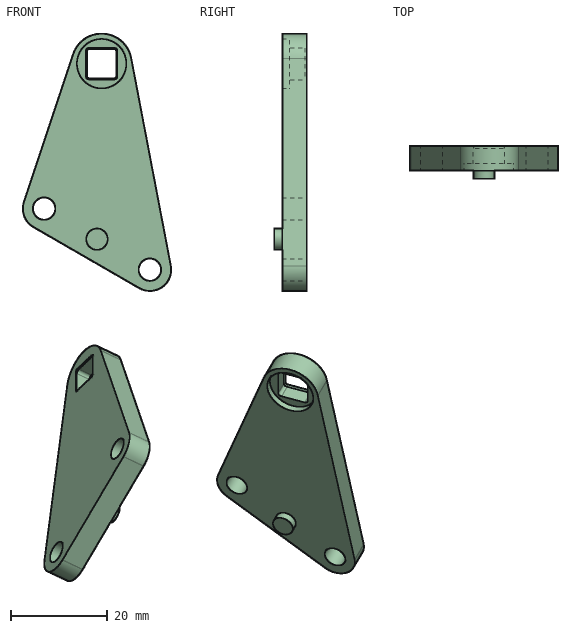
import cadquery as cq
import math

thickness = 5.15
lower_radius = 4.45
top_radius = 6.25

hole_diameter = 4.6
hole_spacing = 25.4
hole_line_slope = math.radians(-30)

pin_diameter = 4.45
pin_length = 1.7

top_center = (0.95, 36.5)
recess_diameter = 10.3
recess_depth = 1.5
square_side = 6.6
square_corner_radius = 0.7
lip_width = 0.25
lip_depth = 0.5

hole_dx = hole_spacing / 2 * math.cos(hole_line_slope)
hole_dz = hole_spacing / 2 * math.sin(hole_line_slope)
left_hole = (-hole_dx, -hole_dz)
right_hole = (hole_dx, hole_dz)


def front_plane(depth=0):
    """XZ sketch plane at the given Y; positive extrusion runs toward -Y."""
    return cq.Workplane("XZ", origin=(0, depth, 0))


def point_on(center, radius, angle):
    return (center[0] + radius * math.cos(angle), center[1] + radius * math.sin(angle))


def tangent_angle(start, start_radius, end, end_radius):
    """Direction of the outward normal of the tangent line, going counterclockwise."""
    dx = end[0] - start[0]
    dz = end[1] - start[1]
    lean = math.asin((start_radius - end_radius) / math.hypot(dx, dz))
    return math.atan2(dz, dx) - math.pi / 2 + lean


def make_plate():
    """Three round corners joined by their outer tangent lines."""
    corners = [(left_hole, lower_radius), (right_hole, lower_radius), (top_center, top_radius)]
    normals = [tangent_angle(*corners[i], *corners[(i + 1) % 3]) for i in range(3)]
    outline = front_plane().moveTo(*point_on(*corners[0], normals[0]))
    for i in (1, 2, 0):
        arrive = normals[i - 1]
        sweep = (normals[i] - arrive) % (2 * math.pi)
        outline = outline.lineTo(*point_on(*corners[i], arrive))
        outline = outline.threePointArc(
            point_on(*corners[i], arrive + sweep / 2),
            point_on(*corners[i], arrive + sweep),
        )
    return outline.close().extrude(-thickness)


def make_socket():
    """Cutter for the recess and the square hole that narrows at the back face."""
    recess = front_plane().center(*top_center).circle(recess_diameter / 2).extrude(-recess_depth)
    square = (
        front_plane()
        .center(*top_center)
        .rect(square_side, square_side)
        .extrude(-thickness)
        .edges("|Y")
        .fillet(square_corner_radius)
        .faces(">Y")
        .chamfer(lip_depth, lip_width)
    )
    return recess.union(square)


lower_holes = front_plane().pushPoints([left_hole, right_hole]).circle(hole_diameter / 2).extrude(-thickness)
pin = front_plane().circle(pin_diameter / 2).extrude(pin_length)

result = make_plate().cut(lower_holes).cut(make_socket()).union(pin)